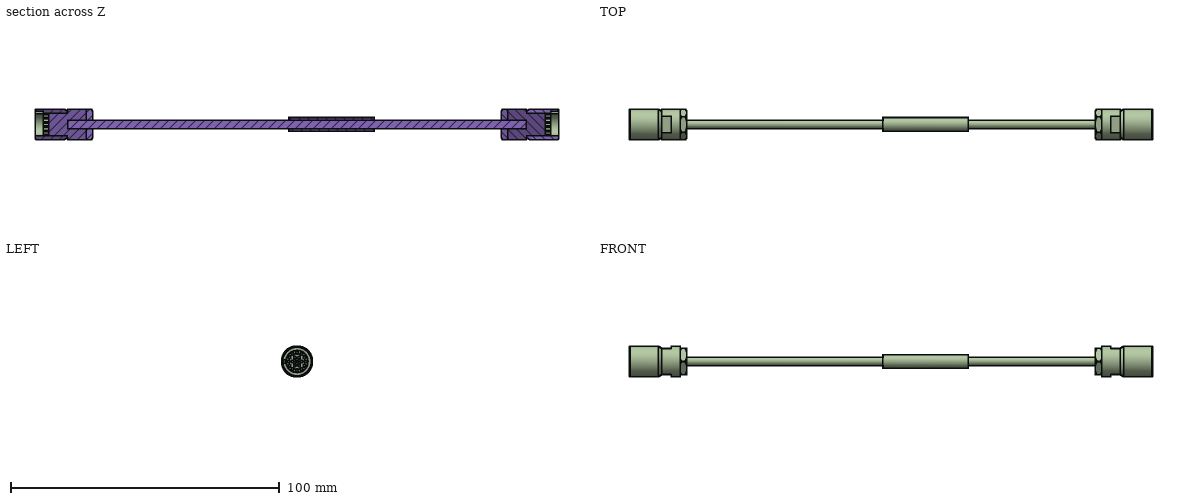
import cadquery as cq
import math

TOTAL_LENGTH = 194.86
END_X = TOTAL_LENGTH / 2
CONNECTOR_DIAMETER = 11.5

SOCKET_FLOOR = 3.0
RING_CHAMFER_START = 10.9
RING_END = 12.1
BODY_FLAT_END = 15.6
BODY_END = 19.1
NUT_END = 21.5

RING_FRONT_CHAMFER = 0.4
RING_BACK_CHAMFER_DEPTH = 0.8
RING_BORE_DIAMETER = 8.2
KEYWAY_WIDTH = 1.4
KEYWAY_TOP_RADIUS = 4.9

BODY_ACROSS_FLATS = 9.7
CONTACT_DIAMETER = 1.0
CONTACT_DEPTH = 2.0
CONTACT_PITCH = 1.6
CONTACT_CIRCLES = ((1, 0), (6, CONTACT_PITCH), (12, 2 * CONTACT_PITCH))

NUT_ACROSS_FLATS = 10.0
NUT_BACK_CHAMFER_LENGTH = 0.6
NUT_BACK_CHAMFER_DEPTH = 0.75
NUT_FRONT_CHAMFER = 0.35

CABLE_DIAMETER = 3.2
SLEEVE_DIAMETER = 5.2
SLEEVE_LENGTH = 31.8
SLEEVE_CENTER_X = 12.9


def cylinder(diameter, start, end):
    """Cylinder around the X axis between two X positions."""
    return cq.Workplane("YZ", origin=(start, 0, 0)).circle(diameter / 2).extrude(end - start)


def turned(profile):
    """Solid turned around the X axis from (x, radius) points."""
    return cq.Workplane("XY").polyline(profile).close().revolve(360, (0, 0), (1, 0))


def make_ring():
    """Coupling ring with a chamfer at both ends, a bore and a keyway on the +Y side."""
    outer = CONNECTOR_DIAMETER / 2
    ring = turned([
        (0, 0),
        (0, outer - RING_FRONT_CHAMFER),
        (RING_FRONT_CHAMFER, outer),
        (RING_CHAMFER_START, outer),
        (RING_END, outer - RING_BACK_CHAMFER_DEPTH),
        (RING_END, 0),
    ])
    keyway = cq.Workplane("XY").box(
        SOCKET_FLOOR, KEYWAY_TOP_RADIUS, KEYWAY_WIDTH, centered=(False, False, True)
    )
    return ring.cut(cylinder(RING_BORE_DIAMETER, 0, RING_END)).cut(keyway)


def make_body():
    """Body with two wrench flats and a plug that fills the back of the ring's bore."""
    body = cylinder(CONNECTOR_DIAMETER, RING_END, BODY_END)
    flat_length = BODY_FLAT_END - RING_END
    flat_cut = cq.Workplane("XY", origin=(RING_END, 0, 0)).box(
        flat_length, CONNECTOR_DIAMETER, CONNECTOR_DIAMETER, centered=(False, True, False)
    ).translate((0, 0, BODY_ACROSS_FLATS / 2))
    body = body.cut(flat_cut).cut(flat_cut.mirror("XY"))
    body = body.union(cylinder(RING_BORE_DIAMETER, SOCKET_FLOOR, RING_END))
    for count, radius in CONTACT_CIRCLES:
        contacts = (
            cq.Workplane("YZ", origin=(SOCKET_FLOOR, 0, 0))
            .polarArray(radius, 0, 360, count)
            .circle(CONTACT_DIAMETER / 2)
            .extrude(CONTACT_DEPTH)
        )
        body = body.cut(contacts)
    return body.cut(cylinder(CABLE_DIAMETER, RING_END, BODY_END))


def make_nut():
    """Hexagonal nut with corners on +Y and -Y, rounded off by a chamfered blank."""
    outer = CONNECTOR_DIAMETER / 2
    blank = turned([
        (BODY_END, 0),
        (BODY_END, outer - NUT_FRONT_CHAMFER),
        (BODY_END + NUT_FRONT_CHAMFER, outer),
        (NUT_END - NUT_BACK_CHAMFER_LENGTH, outer),
        (NUT_END, outer - NUT_BACK_CHAMFER_DEPTH),
        (NUT_END, 0),
    ])
    across_corners = NUT_ACROSS_FLATS / math.cos(math.pi / 6)
    hexagon = (
        cq.Workplane("YZ", origin=(BODY_END, 0, 0))
        .polygon(6, across_corners)
        .extrude(NUT_END - BODY_END)
    )
    return hexagon.intersect(blank).cut(cylinder(CABLE_DIAMETER, BODY_END, NUT_END))


def on_both_ends(part):
    """The part moved to the -X end, and its mirror image on the +X end."""
    left = part.translate((-END_X, 0, 0))
    return [left.val(), left.mirror("YZ").val()]


def make_sleeve():
    start = SLEEVE_CENTER_X - SLEEVE_LENGTH / 2
    end = SLEEVE_CENTER_X + SLEEVE_LENGTH / 2
    return cylinder(SLEEVE_DIAMETER, start, end).cut(cylinder(CABLE_DIAMETER, start, end))


cable_end = END_X - RING_END
cable = cylinder(CABLE_DIAMETER, -cable_end, cable_end)
sleeve = make_sleeve()
rings = on_both_ends(make_ring())
bodies = on_both_ends(make_body())
nuts = on_both_ends(make_nut())

result = cq.Compound.makeCompound([cable.val(), sleeve.val(), *rings, *bodies, *nuts])